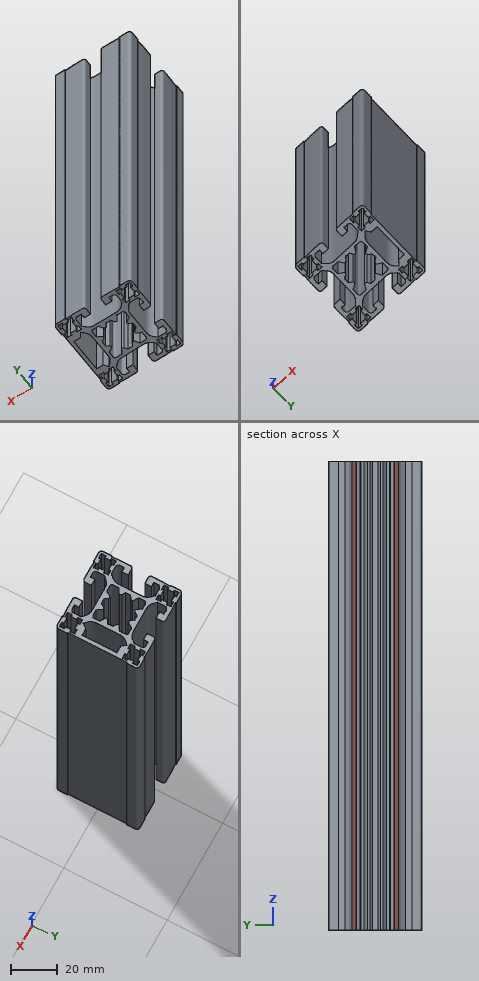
import cadquery as cq
import math

SIZE = 40
LENGTH = 200
HALF = SIZE / 2
CORNER_RADIUS = 1.5

RECESS_DEPTH = 0.5
LIP_RECESS_DEPTH = 0.2
RECESS_START = 14.2
RECESS_END = 10.0

SLOT_HALF_WIDTH = 4.0
LIP_RADIUS = 1.2
LIP_WIDTH = 3.2
LIP_INNER_LEVEL = 15.5
SLOT_CEILING = 17.8
SLOT_FLOOR = 10.0
SLOT_SIDE = 10.5
SLOT_FILLET = 1.5
FLOOR_HALF_WIDTH = 7.8
FLOOR_FILLET = 4.8

BLOCK_START = 14.5
BLOCK_LEVEL = 8.5

CHAMBER_CENTER = 15.2
CHAMBER_HALF = 3.5
NUB_HEIGHT = 1.0
NUB_WIDTH = 2.8

CORE_HALF = 8.5
CORE_FILLET = 1.0
TOOTH_TIP_RADIUS = 6.8
TOOTH_OUTER_ROOT = 4.8
TOOTH_OUTER_TIP = 3.2
TOOTH_INNER_TIP = 2.2
TOOTH_INNER_ROOT = 1.2
TOOTH_VALLEY_LEVEL = 8.0

PLUS_Y, MINUS_X, MINUS_Y, PLUS_X = 0, 90, 180, 270
OPEN_FACES = (PLUS_Y, MINUS_X, MINUS_Y)
ALL_FACES = OPEN_FACES + (PLUS_X,)


def prism(points):
    """Full-length prism over a closed outline."""
    return cq.Workplane("XY").polyline(points).close().extrude(LENGTH)


def both_sides(points):
    """Complete a right-hand chain of points with its mirror image about the Y axis."""
    return points + [(-x, y) for x, y in reversed(points)]


def turn(shape, angle):
    return shape.rotate((0, 0, 0), (0, 0, 1), angle)


def lengthwise_edges_at(x, y):
    """Selector for the two edges along Z at (x, y) and (-x, y)."""
    reach = 0.2
    boxes = [
        cq.selectors.BoxSelector(
            (cx - reach, y - reach, -reach),
            (cx + reach, y + reach, LENGTH + reach),
        )
        for cx in (x, -x)
    ]
    return boxes[0] + boxes[1]


def face_recess():
    """Recess of the +Y face: a step at each corner pad, then a slope up to the level lips."""
    return prism(both_sides([
        (RECESS_START, HALF),
        (RECESS_START, HALF - RECESS_DEPTH),
        (RECESS_END, HALF - LIP_RECESS_DEPTH),
    ]))


def closed_face_recess():
    """Flat recess over the middle of the closed +X face, modelled at the +Y face."""
    return prism(both_sides([(RECESS_START, HALF), (RECESS_START, HALF - RECESS_DEPTH)]))


def slot_opening():
    """Mouth of the T-slot in the +Y face, flared by the rounded lip edges."""
    top = HALF - LIP_RECESS_DEPTH
    flare = SLOT_HALF_WIDTH + LIP_RADIUS
    shift = LIP_RADIUS * (1 - math.sqrt(0.5))
    return (
        cq.Workplane("XY")
        .moveTo(flare, top)
        .threePointArc((SLOT_HALF_WIDTH + shift, top - shift), (SLOT_HALF_WIDTH, top - LIP_RADIUS))
        .lineTo(SLOT_HALF_WIDTH, SLOT_FLOOR)
        .lineTo(-SLOT_HALF_WIDTH, SLOT_FLOOR)
        .lineTo(-SLOT_HALF_WIDTH, top - LIP_RADIUS)
        .threePointArc((-SLOT_HALF_WIDTH - shift, top - shift), (-flare, top))
        .close()
        .extrude(LENGTH)
    )


def t_slot():
    """Open T-slot in the +Y face."""
    lip_back = SLOT_HALF_WIDTH + LIP_WIDTH
    chamber = prism(both_sides([
        (SLOT_HALF_WIDTH, LIP_INNER_LEVEL),
        (lip_back, LIP_INNER_LEVEL),
        (lip_back, SLOT_CEILING),
        (SLOT_SIDE, SLOT_CEILING),
        (SLOT_SIDE, SLOT_FLOOR + SLOT_SIDE - FLOOR_HALF_WIDTH),
        (FLOOR_HALF_WIDTH, SLOT_FLOOR),
    ]))
    chamber = chamber.edges(lengthwise_edges_at(SLOT_SIDE, SLOT_CEILING)).fillet(SLOT_FILLET)
    chamber = chamber.edges(lengthwise_edges_at(FLOOR_HALF_WIDTH, SLOT_FLOOR)).fillet(FLOOR_FILLET)
    return chamber.union(slot_opening())


def closed_chamber():
    """Enclosed chamber behind the closed face, modelled at the +Y face."""
    chamber = prism(both_sides([
        (BLOCK_LEVEL, SLOT_CEILING),
        (BLOCK_LEVEL, BLOCK_START),
        (SLOT_SIDE, SLOT_FLOOR + SLOT_SIDE - FLOOR_HALF_WIDTH),
        (FLOOR_HALF_WIDTH, SLOT_FLOOR),
    ]))
    return chamber.edges(lengthwise_edges_at(FLOOR_HALF_WIDTH, SLOT_FLOOR)).fillet(FLOOR_FILLET)


def corner_chamber():
    """Nubbed square chamber in the +X +Y corner."""
    side = 2 * CHAMBER_HALF
    chamber = cq.Workplane("XY").rect(side, side).extrude(LENGTH)
    nub_offset = CHAMBER_HALF - NUB_HEIGHT / 2
    nub = cq.Workplane("XY").center(0, nub_offset).rect(NUB_WIDTH, NUB_HEIGHT).extrude(LENGTH)
    for angle in ALL_FACES:
        chamber = chamber.cut(turn(nub, angle))
    return chamber.translate((CHAMBER_CENTER, CHAMBER_CENTER, 0))


def core_chamber():
    """Central square chamber with a toothed rib on each wall."""
    side = 2 * CORE_HALF
    chamber = cq.Workplane("XY").rect(side, side).extrude(LENGTH).edges("|Z").fillet(CORE_FILLET)

    def tip_level(x):
        return math.sqrt(TOOTH_TIP_RADIUS**2 - x**2)

    rib = prism(both_sides([
        (TOOTH_OUTER_ROOT, CORE_HALF),
        (TOOTH_OUTER_TIP, tip_level(TOOTH_OUTER_TIP)),
        (TOOTH_INNER_TIP, tip_level(TOOTH_INNER_TIP)),
        (TOOTH_INNER_ROOT, TOOTH_VALLEY_LEVEL),
    ]))
    for angle in ALL_FACES:
        chamber = chamber.cut(turn(rib, angle))
    return chamber


result = cq.Workplane("XY").rect(SIZE, SIZE).extrude(LENGTH).edges("|Z").fillet(CORNER_RADIUS)
result = result.cut(core_chamber())
for face in ALL_FACES:
    result = result.cut(turn(corner_chamber(), face))
for face in OPEN_FACES:
    result = result.cut(turn(t_slot(), face)).cut(turn(face_recess(), face))
result = result.cut(turn(closed_chamber(), PLUS_X)).cut(turn(closed_face_recess(), PLUS_X))